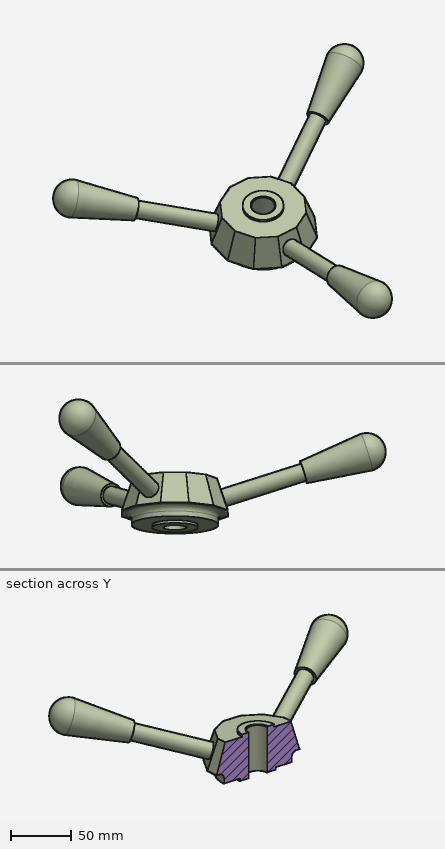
import cadquery as cq
import math

RING_HEIGHT = 2.25
COLLAR_HEIGHT = 9.5
RIM_HEIGHT = 0.5
TAPER_HEIGHT = 27.5
COLLAR_BOTTOM = RING_HEIGHT
FLANGE_BOTTOM = COLLAR_BOTTOM + COLLAR_HEIGHT
RIM_TOP = FLANGE_BOTTOM + RIM_HEIGHT
HUB_TOP = RIM_TOP + TAPER_HEIGHT
PART_TOP = HUB_TOP + RING_HEIGHT

HUB_SIDES = 12
HUB_FLATS_BOTTOM = 88.0
HUB_FLATS_TOP = 70.0

COLLAR_DIAMETER = 72.0
COLLAR_FILLET = 5.0
LOWER_RING_DIAMETER = 38.0
UPPER_RING_DIAMETER = 34.0
BORE_DIAMETER = 19.29
BORE_CHAMFER = 0.75
BORE_CHAMFER_ANGLE = 45.0

LEVER_COUNT = 3
LEVER_TILT = 18.0
ROD_DIAMETER = 15.0
ROD_START_RADIUS = 30.0
BALL_RADIUS = 16.0
BALL_CENTRE_RADIUS = 158.9
BALL_CENTRE_HEIGHT = 63.75
GRIP_LENGTH = 55.0
GRIP_END_DIAMETER = 19.29


def dodecagon(across_flats, height):
    """Twelve-sided outline with flats facing the X and Y directions."""
    corner_diameter = across_flats / math.cos(math.pi / HUB_SIDES)
    return (
        cq.Workplane("XY", origin=(0, 0, height))
        .transformed(rotate=(0, 0, 180 / HUB_SIDES))
        .polygon(HUB_SIDES, corner_diameter)
    )


def disc(diameter, bottom, top):
    """Cylinder about the vertical axis between two heights."""
    return cq.Workplane("XY", origin=(0, 0, bottom)).circle(diameter / 2).extrude(top - bottom)


def make_collar():
    """Round collar that flares with a concave fillet into the hub underside."""
    radius = COLLAR_DIAMETER / 2
    flare_start = FLANGE_BOTTOM - COLLAR_FILLET
    flare_radius = radius + COLLAR_FILLET
    bulge = COLLAR_FILLET * (1 - math.sqrt(0.5))
    return (
        cq.Workplane("XZ")
        .moveTo(0, COLLAR_BOTTOM)
        .lineTo(radius, COLLAR_BOTTOM)
        .lineTo(radius, flare_start)
        .threePointArc((radius + bulge, FLANGE_BOTTOM - bulge), (flare_radius, FLANGE_BOTTOM))
        .lineTo(0, FLANGE_BOTTOM)
        .close()
        .revolve(360, (0, 0, 0), (0, 1, 0))
    )


def make_hub():
    """Tapered twelve-sided body on a thin straight rim, with its collar and rings."""
    rim = dodecagon(HUB_FLATS_BOTTOM, FLANGE_BOTTOM).extrude(RIM_HEIGHT)
    taper = math.degrees(math.atan2((HUB_FLATS_BOTTOM - HUB_FLATS_TOP) / 2, HUB_TOP - RIM_TOP))
    body = dodecagon(HUB_FLATS_BOTTOM, RIM_TOP).extrude(HUB_TOP - RIM_TOP, taper=taper)
    lower_ring = disc(LOWER_RING_DIAMETER, 0, COLLAR_BOTTOM)
    upper_ring = disc(UPPER_RING_DIAMETER, HUB_TOP, PART_TOP)
    return rim.union(body).union(make_collar()).union(lower_ring).union(upper_ring)


def make_lever():
    """Rod, conical grip and ball end, revolved about a tilted axis rising toward +Y."""
    tilt = math.radians(LEVER_TILT)
    rod_length = (BALL_CENTRE_RADIUS - ROD_START_RADIUS) / math.cos(tilt)
    profile_plane = cq.Plane(
        origin=(0, BALL_CENTRE_RADIUS, BALL_CENTRE_HEIGHT),
        xDir=(1, 0, 0),
        normal=(0, -math.sin(tilt), math.cos(tilt)),
    )
    rod_radius = ROD_DIAMETER / 2
    diagonal = BALL_RADIUS * math.sqrt(0.5)
    return (
        cq.Workplane(profile_plane)
        .moveTo(0, -rod_length)
        .lineTo(rod_radius, -rod_length)
        .lineTo(rod_radius, -GRIP_LENGTH)
        .lineTo(GRIP_END_DIAMETER / 2, -GRIP_LENGTH)
        .lineTo(BALL_RADIUS, 0)
        .threePointArc((diagonal, diagonal), (0, BALL_RADIUS))
        .close()
        .revolve(360, (0, 0, 0), (0, 1, 0))
    )


def make_bore():
    """Through bore with a chamfer cone at the top face."""
    mouth = (
        cq.Workplane("XY", origin=(0, 0, PART_TOP))
        .circle(BORE_DIAMETER / 2 + BORE_CHAMFER)
        .extrude(-BORE_CHAMFER, taper=BORE_CHAMFER_ANGLE)
    )
    return disc(BORE_DIAMETER, 0, PART_TOP).union(mouth)


result = make_hub()
lever = make_lever()
for index in range(LEVER_COUNT):
    result = result.union(lever.rotate((0, 0, 0), (0, 0, 1), index * 360 / LEVER_COUNT))
result = result.cut(make_bore())